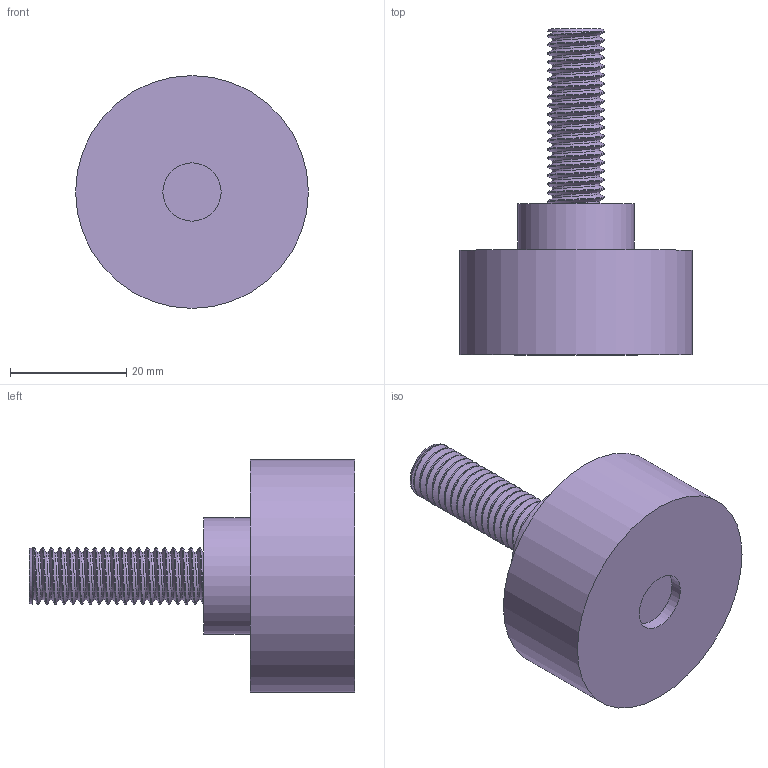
import cadquery as cq
import math

HEAD_DIAMETER = 40.0
HEAD_LENGTH = 18.0
RECESS_DIAMETER = 10.0
RECESS_DEPTH = 2.0

COLLAR_DIAMETER = 20.0
COLLAR_LENGTH = 8.0

STUD_LENGTH = 30.0
THREAD_PITCH = 1.5
CREST_DIAMETER = 9.85
ROOT_DIAMETER = 8.14
FLANK_HALF_ANGLE = 30.0
ROOT_FLAT = THREAD_PITCH / 4
GROOVE_START = 0.32

TIP_LENGTH = 0.5
TIP_END_DIAMETER = 9.4

GROOVE_OVERCUT = 0.05
OVERRUN_TURNS = 2

CREST_RADIUS = CREST_DIAMETER / 2
ROOT_RADIUS = ROOT_DIAMETER / 2
THREAD_LENGTH = STUD_LENGTH - TIP_LENGTH


def groove_profile():
    """Corners (radius, height) of the trapezoid groove section, taken around the section."""
    outer_radius = CREST_RADIUS + GROOVE_OVERCUT
    root_half_width = ROOT_FLAT / 2
    flank_rise = (outer_radius - ROOT_RADIUS) * math.tan(math.radians(FLANK_HALF_ANGLE))
    outer_half_width = root_half_width + flank_rise
    return [
        (ROOT_RADIUS, -root_half_width),
        (outer_radius, -outer_half_width),
        (outer_radius, outer_half_width),
        (ROOT_RADIUS, root_half_width),
    ]


def helix_edge(radius, height):
    """One turn of the thread helix, starting above +X at the given height."""
    helix = cq.Wire.makeHelix(THREAD_PITCH, THREAD_PITCH, radius, center=cq.Vector(0, 0, height))
    return helix.Edges()[0]


def make_groove_cutter():
    """Solid helical groove, skinned turn by turn, that overruns both ends of the thread."""
    corners = groove_profile()
    sides = list(zip(corners, corners[1:] + corners[:1]))
    bottom = GROOVE_START - OVERRUN_TURNS * THREAD_PITCH
    turn_count = math.ceil(THREAD_LENGTH / THREAD_PITCH) + 2 * OVERRUN_TURNS

    faces = []
    for turn in range(turn_count):
        height = bottom + turn * THREAD_PITCH
        for (radius_a, offset_a), (radius_b, offset_b) in sides:
            edge_a = helix_edge(radius_a, height + offset_a)
            edge_b = helix_edge(radius_b, height + offset_b)
            faces.append(cq.Face.makeRuledSurface(edge_a, edge_b))
    for height in (bottom, bottom + turn_count * THREAD_PITCH):
        end_points = [cq.Vector(radius, 0, height + offset) for radius, offset in corners]
        faces.append(cq.Face.makeFromWires(cq.Wire.makePolygon(end_points, close=True)))
    return cq.Workplane(cq.Solid.makeSolid(cq.Shell.makeShell(faces)))


def make_stud():
    """Threaded stud standing on Z = 0, finished with the tapered rim."""
    threaded_rod = cq.Workplane("XY").circle(CREST_RADIUS).extrude(THREAD_LENGTH)
    threaded_rod = threaded_rod.cut(make_groove_cutter())
    tip = (
        cq.Workplane("XY", origin=(0, 0, THREAD_LENGTH))
        .circle(CREST_RADIUS)
        .workplane(offset=TIP_LENGTH)
        .circle(TIP_END_DIAMETER / 2)
        .loft(ruled=True)
    )
    return threaded_rod.union(tip)


def make_knob():
    """Head with its recess, and the collar on top of it, standing on Z = 0."""
    head = cq.Workplane("XY").circle(HEAD_DIAMETER / 2).extrude(HEAD_LENGTH)
    collar = (
        cq.Workplane("XY", origin=(0, 0, HEAD_LENGTH))
        .circle(COLLAR_DIAMETER / 2)
        .extrude(COLLAR_LENGTH)
    )
    recess = cq.Workplane("XY").circle(RECESS_DIAMETER / 2).extrude(RECESS_DEPTH)
    return head.union(collar).cut(recess)


stud = make_stud().translate((0, 0, HEAD_LENGTH + COLLAR_LENGTH))
upright_part = make_knob().union(stud)
result = upright_part.solids().rotate((0, 0, 0), (1, 0, 0), -90)